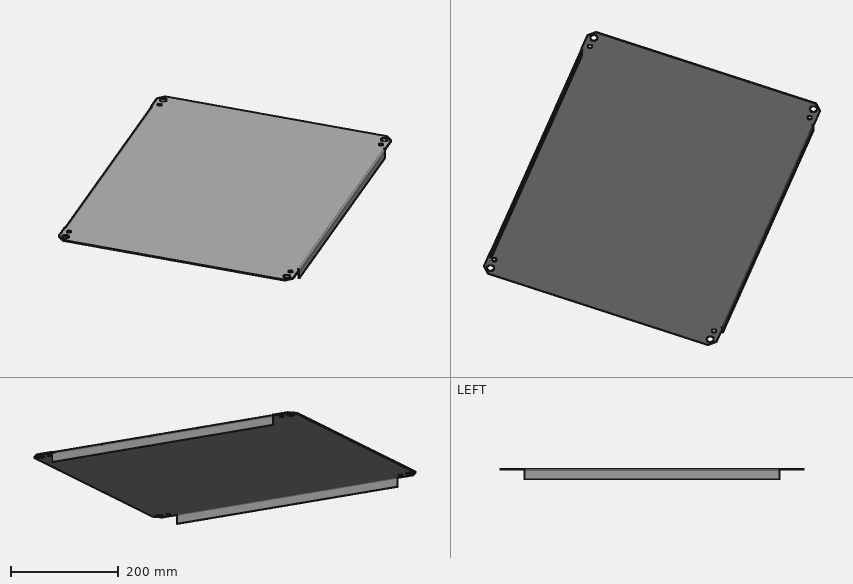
import cadquery as cq

width = 462.5
length = 564.0
height = 20.0
thickness = 2.5

flange_end_gap = 45.0
flange_length = length - 2 * flange_end_gap
bend_inner_radius = 0.5
bend_outer_radius = bend_inner_radius + thickness

corner_chamfer = 12.5
hole_side_inset = 13.0
mounting_hole_diameter = 13.0
mounting_hole_end_inset = 13.0
small_hole_diameter = 8.0
small_hole_end_inset = 32.5


def make_plate():
    """Flat sheet with chamfered corners; its top face is at Z = 0."""
    sheet = cq.Workplane("XY").rect(width, length).extrude(-thickness)
    return sheet.edges("|Z").chamfer(corner_chamfer)


def make_folded_section():
    """Channel with rounded bends along both long sides."""
    inner_width = width - 2 * thickness
    outer = cq.Workplane("XY").box(width, flange_length, height, centered=(True, True, False))
    outer = outer.edges("|Y and >Z").fillet(bend_outer_radius)
    inner = cq.Workplane("XY").box(
        inner_width, flange_length, height - thickness, centered=(True, True, False)
    )
    inner = inner.edges("|Y and >Z").fillet(bend_inner_radius)
    return outer.cut(inner).translate((0, 0, -height))


def cut_corner_holes(body, diameter, end_inset):
    """Drill one hole through the sheet near each of the four corners."""
    return (
        body.faces(">Z")
        .workplane(origin=(0, 0, 0))
        .rect(width - 2 * hole_side_inset, length - 2 * end_inset, forConstruction=True)
        .vertices()
        .hole(diameter)
    )


middle_zone = cq.Workplane("XY").box(width, flange_length, 2 * height)
result = make_plate().cut(middle_zone).union(make_folded_section())
result = cut_corner_holes(result, mounting_hole_diameter, mounting_hole_end_inset)
result = cut_corner_holes(result, small_hole_diameter, small_hole_end_inset)